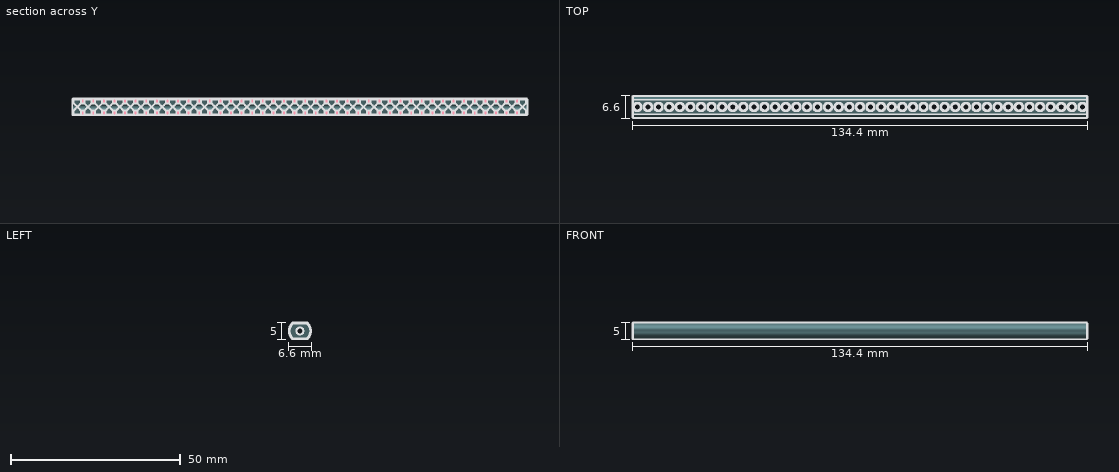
import cadquery as cq

hole_count = 43
hole_pitch = 3.125
hole_diameter = 2.0
countersink_depth = 0.3

length = hole_count * hole_pitch
bar_diameter = 6.6
flat_height = 5.0
end_chamfer = 0.3

bore_diameter = 2.0


def flatted_bar():
    """Bar with a chamfer around the whole outline of each end face."""
    bar = cq.Workplane("YZ").circle(bar_diameter / 2).extrude(length)
    flats = cq.Workplane("XY").box(length, bar_diameter, flat_height, centered=(False, True, True))
    return bar.intersect(flats).faces("<X or >X").chamfer(end_chamfer)


def axial_bore():
    return cq.Workplane("YZ").circle(bore_diameter / 2).extrude(length)


def countersunk_hole(x):
    """Solid of one vertical through hole, turned about its own axis."""
    mouth_z = flat_height / 2
    neck_z = mouth_z - countersink_depth
    neck_radius = hole_diameter / 2
    mouth_radius = neck_radius + countersink_depth
    profile = [
        (0, -mouth_z),
        (mouth_radius, -mouth_z),
        (neck_radius, -neck_z),
        (neck_radius, neck_z),
        (mouth_radius, mouth_z),
        (0, mouth_z),
    ]
    hole = cq.Workplane("XZ").polyline(profile).close().revolve(360, (0, 0, 0), (0, 1, 0))
    return hole.translate((x, 0, 0))


result = flatted_bar().cut(axial_bore())
for index in range(hole_count):
    result = result.cut(countersunk_hole((index + 0.5) * hole_pitch))